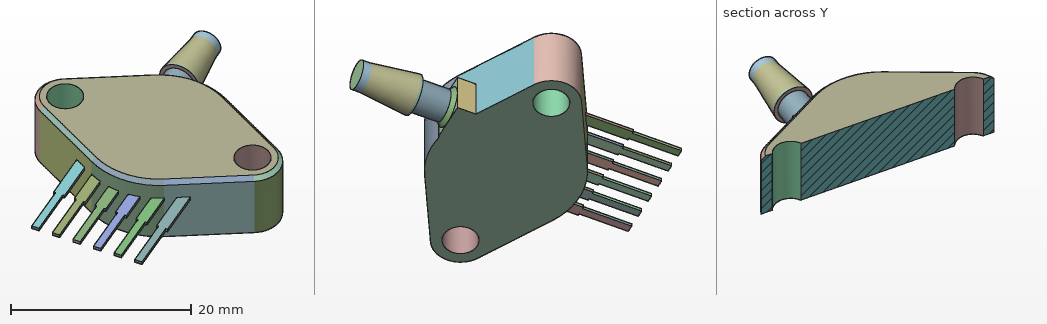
import cadquery as cq
import math

OVERALL_WIDTH = 38.72

BODY_HEIGHT = 8.26
BODY_LENGTH = 29.84
CENTRE_RADIUS = 9.06
EAR_RADIUS = 3.36
EAR_OFFSET = BODY_LENGTH / 2 - EAR_RADIUS
MOUNT_HOLE_DIAMETER = 4.1
TOP_CHAMFER = 0.5

LEAD_COUNT = 6
LEAD_PITCH = 2.54
LEAD_THICKNESS = 0.4
LEAD_BOTTOM_Z = 5.45
LEAD_WIDE_WIDTH = 1.35
LEAD_NARROW_WIDTH = 0.9
LEAD_ROOT_Y = -5.0
LEAD_SHOULDER_Y = -12.32
LEAD_TIP_Y = -18.4

PORT_X = -3.91
PORT_BLOCK_SIZE = 4.92
PORT_Z = PORT_BLOCK_SIZE / 2
PORT_BASE_Y = CENTRE_RADIUS
COLLAR_RADIUS = 2.4
COLLAR_LENGTH = 0.55
STEM_RADIUS = 1.94
BARB_RADIUS = 2.43
BARB_START_Y = 13.3
BARB_RIM_LENGTH = 0.25
TIP_RADIUS = 1.75
TIP_LENGTH = 1.0
TIP_END_Y = LEAD_TIP_Y + OVERALL_WIDTH


def make_body():
    """Chamfered flange with tangent sides between the centre and ear arcs."""
    side_angle = math.asin((CENTRE_RADIUS - EAR_RADIUS) / EAR_OFFSET)
    centre_x = CENTRE_RADIUS * math.sin(side_angle)
    centre_y = CENTRE_RADIUS * math.cos(side_angle)
    ear_x = EAR_OFFSET + EAR_RADIUS * math.sin(side_angle)
    ear_y = EAR_RADIUS * math.cos(side_angle)
    ear_end_x = BODY_LENGTH / 2
    body = (
        cq.Workplane("XY")
        .moveTo(-centre_x, centre_y)
        .threePointArc((0, CENTRE_RADIUS), (centre_x, centre_y))
        .lineTo(ear_x, ear_y)
        .threePointArc((ear_end_x, 0), (ear_x, -ear_y))
        .lineTo(centre_x, -centre_y)
        .threePointArc((0, -CENTRE_RADIUS), (-centre_x, -centre_y))
        .lineTo(-ear_x, -ear_y)
        .threePointArc((-ear_end_x, 0), (-ear_x, ear_y))
        .close()
        .extrude(BODY_HEIGHT)
    )
    return body.faces(">Z").edges().chamfer(TOP_CHAMFER)


def make_mount_holes():
    """Cutters for the through hole in each ear."""
    return (
        cq.Workplane("XY")
        .pushPoints([(-EAR_OFFSET, 0), (EAR_OFFSET, 0)])
        .circle(MOUNT_HOLE_DIAMETER / 2)
        .extrude(BODY_HEIGHT)
    )


def make_lead_section(x, width, start_y, end_y):
    """Flat bar centred on x, running along Y between two positions."""
    return (
        cq.Workplane("XY", origin=(x, (start_y + end_y) / 2, LEAD_BOTTOM_Z))
        .rect(width, abs(start_y - end_y))
        .extrude(LEAD_THICKNESS)
    )


def make_lead(x):
    """Stepped lead: wide at the root, narrow from the shoulder to the tip."""
    wide = make_lead_section(x, LEAD_WIDE_WIDTH, LEAD_ROOT_Y, LEAD_SHOULDER_Y)
    narrow = make_lead_section(x, LEAD_NARROW_WIDTH, LEAD_SHOULDER_Y, LEAD_TIP_Y)
    return wide.union(narrow)


def make_port_block():
    """Square block running from the plane Y = 0 to the foot of the tube."""
    return (
        cq.Workplane("XZ", origin=(PORT_X, 0, PORT_Z))
        .rect(PORT_BLOCK_SIZE, PORT_BLOCK_SIZE)
        .extrude(-PORT_BASE_Y)
    )


def make_port_tube():
    """Tube turned about its axis: tapered collar, stem, barb and plain tip."""
    profile = [
        (0, PORT_BASE_Y),
        (COLLAR_RADIUS, PORT_BASE_Y),
        (STEM_RADIUS, PORT_BASE_Y + COLLAR_LENGTH),
        (STEM_RADIUS, BARB_START_Y),
        (BARB_RADIUS, BARB_START_Y),
        (BARB_RADIUS, BARB_START_Y + BARB_RIM_LENGTH),
        (TIP_RADIUS, TIP_END_Y - TIP_LENGTH),
        (TIP_RADIUS, TIP_END_Y),
        (0, TIP_END_Y),
    ]
    return (
        cq.Workplane("XY", origin=(PORT_X, 0, PORT_Z))
        .polyline(profile)
        .close()
        .revolve(360, (0, 0, 0), (0, 1, 0))
    )


result = make_body().union(make_port_block()).union(make_port_tube())
first_lead_x = -LEAD_PITCH * (LEAD_COUNT - 1) / 2
for lead_index in range(LEAD_COUNT):
    result = result.union(make_lead(first_lead_x + lead_index * LEAD_PITCH))
result = result.cut(make_mount_holes())